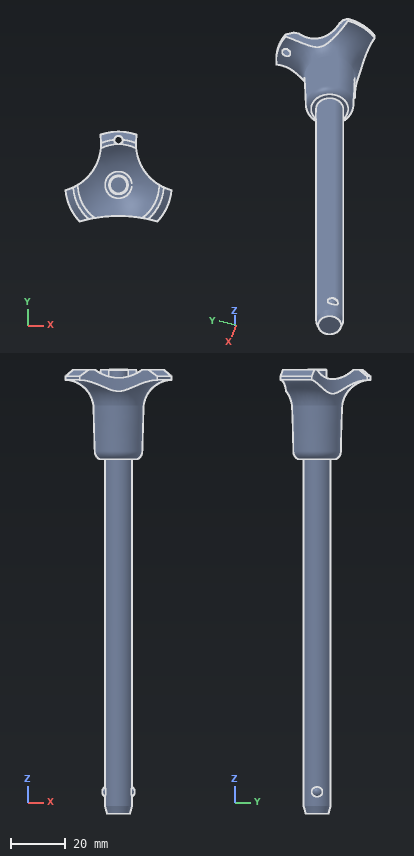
import cadquery as cq
import math

TOTAL_LENGTH = 162.9
HANDLE_HEIGHT = 33.1
SHANK_LENGTH = TOTAL_LENGTH - HANDLE_HEIGHT

SHANK_RADIUS = 5.0
TIP_RADIUS = 4.2
TIP_HEIGHT = 2.9

BALL_RADIUS = 2.1
BALL_REACH = 6.0
BALL_ABOVE_TIP = 8.1

BARREL_FOOT_RADIUS = 6.8
BARREL_LOW_RADIUS = 8.78
FOOT_ROUND_MID = (8.05, 0.95)
BARREL_ROUND_HEIGHT = 3.0
BARREL_TOP_RADIUS = 9.25
BARREL_TOP_Z = 19.8

HEAD_RADIUS = 19.58
FLARE_MID = (12.5, 26.2)
RIM_LOW_Z = 29.1
RIM_HIGH_Z = 30.4
CROWN_Z = 32.9
CROWN_OUTER_RADIUS = 16.6
CROWN_INNER_RADIUS = 14.9

DISH_SPHERE_RADIUS = 20.3
DISH_FLOOR_RADIUS = 4.9

BUTTON_RADIUS = 3.5
BUTTON_CHAMFER = 0.4

TOP_ARM_HALF_WIDTH = 6.75
SIDE_NOTCH_MID = (10.35, 4.0)
SIDE_NOTCH_END_X = 19.485
FRONT_NOTCH_HALF_WIDTH = 14.26
FRONT_NOTCH_DEPTH_Y = -11.4

LANYARD_HOLE_DIAMETER = 3.0
LANYARD_HOLE_Y = 16.4


def dish_height(radius):
    """Height of the dish surface above the lowest point of its sphere."""
    return DISH_SPHERE_RADIUS - math.sqrt(DISH_SPHERE_RADIUS**2 - radius**2)


def rim_y(x):
    """Distance from the X axis to the head's outer circle at x."""
    return math.sqrt(HEAD_RADIUS**2 - x**2)


DISH_BOTTOM_Z = CROWN_Z - dish_height(CROWN_INNER_RADIUS)
DISH_FLOOR_Z = DISH_BOTTOM_Z + dish_height(DISH_FLOOR_RADIUS)


def make_shank():
    return (
        cq.Workplane("XZ")
        .moveTo(0, -SHANK_LENGTH)
        .lineTo(TIP_RADIUS, -SHANK_LENGTH)
        .lineTo(SHANK_RADIUS, TIP_HEIGHT - SHANK_LENGTH)
        .lineTo(SHANK_RADIUS, BARREL_ROUND_HEIGHT)
        .lineTo(0, BARREL_ROUND_HEIGHT)
        .close()
        .revolve(360, (0, 0), (0, 1))
    )


def make_balls():
    ball_x = BALL_REACH - BALL_RADIUS
    ball_z = BALL_ABOVE_TIP - SHANK_LENGTH
    return (
        cq.Workplane("XY", origin=(0, 0, ball_z))
        .pushPoints([(-ball_x, 0), (ball_x, 0)])
        .sphere(BALL_RADIUS)
    )


def make_handle_body():
    mid_radius = (DISH_FLOOR_RADIUS + CROWN_INNER_RADIUS) / 2
    dish_mid = (mid_radius, DISH_BOTTOM_Z + dish_height(mid_radius))
    return (
        cq.Workplane("XZ")
        .lineTo(BARREL_FOOT_RADIUS, 0)
        .threePointArc(FOOT_ROUND_MID, (BARREL_LOW_RADIUS, BARREL_ROUND_HEIGHT))
        .lineTo(BARREL_TOP_RADIUS, BARREL_TOP_Z)
        .threePointArc(FLARE_MID, (HEAD_RADIUS, RIM_LOW_Z))
        .lineTo(HEAD_RADIUS, RIM_HIGH_Z)
        .lineTo(CROWN_OUTER_RADIUS, CROWN_Z)
        .lineTo(CROWN_INNER_RADIUS, CROWN_Z)
        .threePointArc(dish_mid, (DISH_FLOOR_RADIUS, DISH_FLOOR_Z))
        .lineTo(0, DISH_FLOOR_Z)
        .close()
        .revolve(360, (0, 0), (0, 1))
    )


def make_notch(start, mid, end):
    """Cutter with an arc edge; its far corners lie well outside the head."""
    reach = 2
    return (
        cq.Workplane("XY", origin=(0, 0, BARREL_TOP_Z))
        .moveTo(*start)
        .threePointArc(mid, end)
        .lineTo(end[0] * reach, end[1] * reach)
        .lineTo(mid[0] * 2 * reach, mid[1] * 2 * reach)
        .lineTo(start[0] * reach, start[1] * reach)
        .close()
        .extrude(HANDLE_HEIGHT - BARREL_TOP_Z)
    )


def cut_notches(body):
    side_notch = make_notch(
        (TOP_ARM_HALF_WIDTH, rim_y(TOP_ARM_HALF_WIDTH)),
        SIDE_NOTCH_MID,
        (SIDE_NOTCH_END_X, -rim_y(SIDE_NOTCH_END_X)),
    )
    front_corner_y = -rim_y(FRONT_NOTCH_HALF_WIDTH)
    front_notch = make_notch(
        (-FRONT_NOTCH_HALF_WIDTH, front_corner_y),
        (0, FRONT_NOTCH_DEPTH_Y),
        (FRONT_NOTCH_HALF_WIDTH, front_corner_y),
    )
    return body.cut(side_notch).cut(side_notch.mirror("YZ")).cut(front_notch)


def cut_lanyard_hole(body):
    hole = (
        cq.Workplane("XY", origin=(0, LANYARD_HOLE_Y, BARREL_TOP_Z))
        .circle(LANYARD_HOLE_DIAMETER / 2)
        .extrude(HANDLE_HEIGHT - BARREL_TOP_Z)
    )
    return body.cut(hole)


def make_button():
    return (
        cq.Workplane("XY", origin=(0, 0, BARREL_TOP_Z))
        .circle(BUTTON_RADIUS)
        .extrude(HANDLE_HEIGHT - BARREL_TOP_Z)
        .faces(">Z")
        .chamfer(BUTTON_CHAMFER)
    )


handle = cut_lanyard_hole(cut_notches(make_handle_body())).union(make_button())
result = handle.union(make_shank()).union(make_balls())